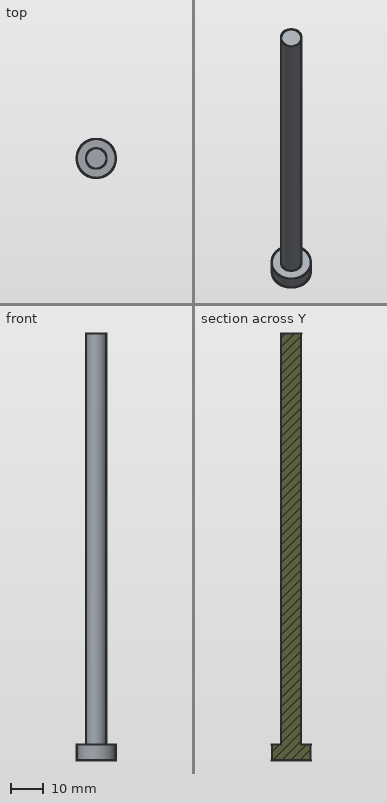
import cadquery as cq

total_length = 130.0
head_diameter = 12.0
head_height = 5.0
shaft_diameter = 6.2

head = cq.Workplane("XY").circle(head_diameter / 2).extrude(head_height)
shaft = cq.Workplane("XY").circle(shaft_diameter / 2).extrude(total_length)

result = head.union(shaft)